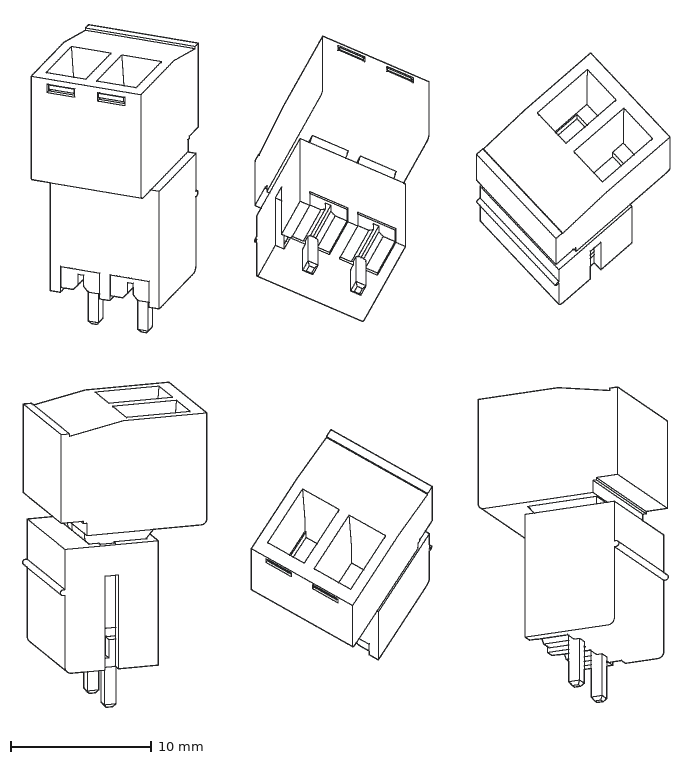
import cadquery as cq
import math


CONTACT_COUNT = 2
CONTACT_PITCH = 3.8

HEADER_WIDTH = 8.37
HEADER_FRONT = 3.65
HEADER_BACK = 10.68
HEADER_BOTTOM = 3.4
HEADER_TOP = 12.62
HEADER_CORNER_RADIUS = 0.5
RIDGE_RADIUS = 0.22
RIDGE_LENGTH = 0.35
RIDGE_Z = 9.42

PIN_WIDTH = 0.8
PIN_DEPTH = 0.87
PIN_Y = 6.63
PIN_TIP_HEIGHT = 0.26
PIN_TIP_INSET = 0.2

POCKET_WIDTH = 3.02
POCKET_TOP = 5.42
POCKET_DEPTH = 0.13
RECESS_TOP = 3.72
ARCH_BOTTOM_WIDTH = 1.13
ARCH_TOP = 4.1
NOTCH_WIDTH = 0.44
NOTCH_TOP = 4.98

GROOVE_FRONT = 6.65
GROOVE_BACK = 7.65
GROOVE_TOP = 10.35
GROOVE_DEPTH = 0.7
CHAMBER_TOP = 6.29
CHAMBER_LENGTH = 3.7
BARREL_RADIUS = 0.78
BARREL_TOP = 6.15
SIDE_WELL_BOTTOM = 4.07
SIDE_WELL_FRONT = 7.13

SOCKET_WIDTH = 3.02
SOCKET_FRONT = 4.26
SOCKET_BACK = 8.6
SOCKET_FLOOR = 10.45
KEYWAY_LEFT = 0.45
KEYWAY_FRONT = 6.72
KEYWAY_BACK = 7.87

PLUG_WIDTH = 8.44
PLUG_BACK = 10.96
PLUG_BOTTOM = 13.48
PLUG_TOP = 21.75
PLUG_FRONT_RADIUS = 0.44
SLOPE_FRONT = 6.29
SLOPE_BACK_Z = 20.97
LIP_FRONT = 10.33
LIP_TOP = 21.15
OVERHANG_Z = 14.57
STEP_Y = 9.29
STEP_Z = 14.4
PLUG_HEEL_Y = 9.03

TONGUE_WIDTH = 2.85
TONGUE_BACK = 8.9
TONGUE_FRONT = 3.48
TONGUE_ARC_TOP = 13.1

OPENING_PITCH = 3.87
OPENING_WIDTH = 3.05
OPENING_LENGTH = 4.8
OPENING_FRONT = 1.0
OPENING_WALL_INSET = 0.52
FUNNEL_DEPTH = 4.35
SHAFT_DEPTH = 1.95
WELL_OUTER_STEP = 0.09
WELL_FRONT = 2.55
WELL_DEPTH = 1.09

SLOT_WIDTH = 2.1
SLOT_BOTTOM = 20.68
SLOT_TOP = 21.34
SLOT_DEPTH = 0.33
TAB_SETBACK = 0.07
TAB_GAP = 0.07
TAB_OUTER_GAP = 0.13
TAB_BEVEL_TOP = 20.95

PLUG_CENTRE = PLUG_WIDTH / 2
HEADER_CENTRE = HEADER_WIDTH / 2


def row_positions(centre, pitch):
    """X positions of evenly spaced features about a centre."""
    first = centre - pitch * (CONTACT_COUNT - 1) / 2
    return [first + i * pitch for i in range(CONTACT_COUNT)]


def box(x, y, z):
    """Box given by its (low, high) limits on each axis."""
    return cq.Workplane("XY").box(
        x[1] - x[0], y[1] - y[0], z[1] - z[0], centered=False
    ).translate((x[0], y[0], z[0]))


def span(centre, width):
    """(low, high) limits of a width about a centre."""
    return centre - width / 2, centre + width / 2


def frustum(centre, bottom_z, bottom_size, top_z, top_size):
    """Rectangular solid that changes size evenly from bottom to top."""
    return (
        cq.Workplane("XY", origin=(centre[0], centre[1], bottom_z))
        .rect(*bottom_size)
        .workplane(offset=top_z - bottom_z)
        .rect(*top_size)
        .loft(ruled=True)
    )


def side_profile(x):
    """Workplane at the given X whose local axes are Y and Z."""
    return cq.Workplane("YZ", origin=(x, 0, 0))



def header_shell():
    shell = box((0, HEADER_WIDTH), (HEADER_FRONT, HEADER_BACK), (HEADER_BOTTOM, HEADER_TOP))
    shell = shell.edges(">Y and <Z").fillet(HEADER_CORNER_RADIUS)
    straight_end = HEADER_BACK + RIDGE_LENGTH - RIDGE_RADIUS
    ridge = (
        side_profile(0)
        .moveTo(HEADER_BACK, RIDGE_Z - RIDGE_RADIUS)
        .lineTo(straight_end, RIDGE_Z - RIDGE_RADIUS)
        .threePointArc((HEADER_BACK + RIDGE_LENGTH, RIDGE_Z), (straight_end, RIDGE_Z + RIDGE_RADIUS))
        .lineTo(HEADER_BACK, RIDGE_Z + RIDGE_RADIUS)
        .close()
        .extrude(HEADER_WIDTH)
    )
    return shell.union(ridge)


def pin(x):
    """Square pin with a tapered tip, ending at the top of its arch."""
    shank = box(span(x, PIN_WIDTH), span(PIN_Y, PIN_DEPTH), (PIN_TIP_HEIGHT, ARCH_TOP))
    tip_size = (PIN_WIDTH - 2 * PIN_TIP_INSET, PIN_DEPTH - 2 * PIN_TIP_INSET)
    tip = frustum((x, PIN_Y), 0, tip_size, PIN_TIP_HEIGHT, (PIN_WIDTH, PIN_DEPTH))
    return shank.union(tip)


def pin_relief(x):
    """Shallow front pocket, and an underside recess with arch and notch that run back to the pin axis."""
    pocket = box(
        span(x, POCKET_WIDTH),
        (HEADER_FRONT, HEADER_FRONT + POCKET_DEPTH),
        (HEADER_BOTTOM, POCKET_TOP),
    )
    half_pocket = POCKET_WIDTH / 2
    half_arch = ARCH_BOTTOM_WIDTH / 2
    half_notch = NOTCH_WIDTH / 2
    channel = (
        cq.Workplane("XZ", origin=(x, PIN_Y, 0))
        .polyline([
            (-half_pocket, HEADER_BOTTOM),
            (-half_pocket, RECESS_TOP),
            (-half_arch, RECESS_TOP),
            (-half_notch, ARCH_TOP),
            (-half_notch, NOTCH_TOP),
            (half_notch, NOTCH_TOP),
            (half_notch, ARCH_TOP),
            (half_arch, RECESS_TOP),
            (half_pocket, RECESS_TOP),
            (half_pocket, HEADER_BOTTOM),
        ])
        .close()
        .extrude(PIN_Y - HEADER_FRONT)
    )
    return pocket.union(channel)


def side_groove(barrel_x):
    """Groove in the left side, opening into a chamber round the first contact barrel."""
    groove = box((0, GROOVE_DEPTH), (GROOVE_FRONT, GROOVE_BACK), (HEADER_BOTTOM, GROOVE_TOP))
    chamber_y = span(PIN_Y, CHAMBER_LENGTH)
    chamber_x = (GROOVE_DEPTH, barrel_x + POCKET_WIDTH / 2)
    chamber = box(chamber_x, chamber_y, (POCKET_TOP, CHAMBER_TOP))
    barrel = (
        cq.Workplane("XY", origin=(barrel_x, PIN_Y, POCKET_TOP))
        .circle(BARREL_RADIUS)
        .extrude(BARREL_TOP - POCKET_TOP)
    )
    side_well = box(
        (GROOVE_DEPTH, barrel_x - BARREL_RADIUS),
        (SIDE_WELL_FRONT, chamber_y[1]),
        (SIDE_WELL_BOTTOM, POCKET_TOP),
    )
    return groove.union(chamber.cut(barrel)).union(side_well)


def socket(x):
    """Rectangular hole in the header top for one tongue."""
    return box(span(x, SOCKET_WIDTH), (SOCKET_FRONT, SOCKET_BACK), (SOCKET_FLOOR, HEADER_TOP))


def keyway(socket_x):
    """Slot that widens the left side of a socket to its full depth."""
    return box((KEYWAY_LEFT, socket_x), (KEYWAY_FRONT, KEYWAY_BACK), (SOCKET_FLOOR, HEADER_TOP))


def make_header():
    pin_positions = row_positions(HEADER_CENTRE, CONTACT_PITCH)
    header = header_shell().cut(side_groove(pin_positions[0])).cut(keyway(pin_positions[0]))
    for x in pin_positions:
        header = header.cut(socket(x)).cut(pin_relief(x)).union(pin(x))
    return header



def plug_shell():
    shell = (
        side_profile(0)
        .polyline([
            (0, PLUG_BOTTOM),
            (PLUG_HEEL_Y, PLUG_BOTTOM),
            (PLUG_HEEL_Y, STEP_Z),
            (STEP_Y, STEP_Z),
            (STEP_Y, OVERHANG_Z),
            (PLUG_BACK, OVERHANG_Z),
            (PLUG_BACK, LIP_TOP),
            (LIP_FRONT, LIP_TOP),
            (LIP_FRONT, SLOPE_BACK_Z),
            (SLOPE_FRONT, PLUG_TOP),
            (0, PLUG_TOP),
        ])
        .close()
        .extrude(PLUG_WIDTH)
    )
    return shell.edges("<Y and <Z").fillet(PLUG_FRONT_RADIUS)


def tongue(x):
    """Tongue with a sloping front, a rounded rear edge and a straight foot that fits the socket."""
    inset = TONGUE_BACK - SOCKET_BACK
    drop = TONGUE_ARC_TOP - HEADER_TOP
    radius = (inset**2 + drop**2) / (2 * inset)
    half_angle = math.asin(drop / radius) / 2
    arc_middle = (
        TONGUE_BACK - radius * (1 - math.cos(half_angle)),
        TONGUE_ARC_TOP - radius * math.sin(half_angle),
    )
    return (
        side_profile(x - TONGUE_WIDTH / 2)
        .moveTo(TONGUE_FRONT, PLUG_BOTTOM)
        .lineTo(TONGUE_BACK, PLUG_BOTTOM)
        .lineTo(TONGUE_BACK, TONGUE_ARC_TOP)
        .threePointArc(arc_middle, (SOCKET_BACK, HEADER_TOP))
        .lineTo(SOCKET_BACK, SOCKET_FLOOR)
        .lineTo(SOCKET_FRONT, SOCKET_FLOOR)
        .lineTo(SOCKET_FRONT, HEADER_TOP)
        .close()
        .extrude(TONGUE_WIDTH)
    )


def wire_opening(x, outward):
    """Funnel, then a straight shaft with a deeper well in its floor; outward is -1 or 1 along X."""
    centre_y = OPENING_FRONT + OPENING_LENGTH / 2
    floor_width = OPENING_WIDTH - 2 * OPENING_WALL_INSET
    floor_length = OPENING_LENGTH - 2 * OPENING_WALL_INSET
    shaft_top = PLUG_TOP - FUNNEL_DEPTH
    shaft_bottom = shaft_top - SHAFT_DEPTH
    funnel = frustum(
        (x, centre_y), shaft_top, (floor_width, floor_length), PLUG_TOP, (OPENING_WIDTH, OPENING_LENGTH)
    )
    shaft = box(span(x, floor_width), span(centre_y, floor_length), (shaft_bottom, shaft_top))
    well = box(
        span(x - outward * WELL_OUTER_STEP / 2, floor_width - WELL_OUTER_STEP),
        (WELL_FRONT, centre_y + floor_length / 2),
        (shaft_bottom - WELL_DEPTH, shaft_bottom),
    )
    return funnel.union(shaft).union(well)


def marker_slot(x, outward):
    """Slot in the plug front, less the tab inside it that is bevelled back to the slot floor."""
    slot_x = span(x, SLOT_WIDTH)
    slot = box(slot_x, (0, SLOT_DEPTH), (SLOT_BOTTOM, SLOT_TOP))
    left_gap, right_gap = (TAB_OUTER_GAP, TAB_GAP) if outward < 0 else (TAB_GAP, TAB_OUTER_GAP)
    tab_top = SLOT_TOP - TAB_GAP
    tab = (
        side_profile(slot_x[0] + left_gap)
        .polyline([
            (SLOT_DEPTH, SLOT_BOTTOM),
            (TAB_SETBACK, TAB_BEVEL_TOP),
            (TAB_SETBACK, tab_top),
            (SLOT_DEPTH, tab_top),
        ])
        .close()
        .extrude(SLOT_WIDTH - left_gap - right_gap)
    )
    return slot.cut(tab)


def make_plug():
    plug = plug_shell()
    for x in row_positions(PLUG_CENTRE, CONTACT_PITCH):
        plug = plug.union(tongue(x))
    for x in row_positions(PLUG_CENTRE, OPENING_PITCH):
        outward = math.copysign(1, x - PLUG_CENTRE)
        plug = plug.cut(wire_opening(x, outward)).cut(marker_slot(x, outward))
    return plug


header = make_header()
plug = make_plug()

result = cq.Compound.makeCompound([header.solids().val(), plug.solids().val()])